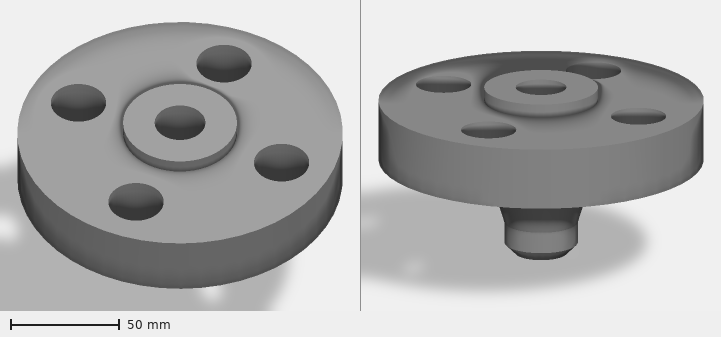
import cadquery as cq

flange_diameter = 149.4
flange_thickness = 28.4
face_diameter = 52.3
face_height = 6.3

total_height = 79.5
hub_base_diameter = 52.3
neck_diameter = 33.8
taper_height = 30.0
bevel_height = 5.0
tip_diameter = 23.9

bore_diameter = 23.3
bolt_hole_diameter = 25.4
bolt_circle_diameter = 101.5
bolt_count = 4
first_bolt_angle = 45.0

face_top = flange_thickness + face_height
taper_bottom = -taper_height
tip_bottom = face_top - total_height
bevel_top = tip_bottom + bevel_height


def flange_body():
    """Revolve the half section of the flange, hub and bore about Z."""
    bore_radius = bore_diameter / 2
    section = [
        (bore_radius, face_top),
        (face_diameter / 2, face_top),
        (face_diameter / 2, flange_thickness),
        (flange_diameter / 2, flange_thickness),
        (flange_diameter / 2, 0),
        (hub_base_diameter / 2, 0),
        (neck_diameter / 2, taper_bottom),
        (neck_diameter / 2, bevel_top),
        (tip_diameter / 2, tip_bottom),
        (bore_radius, tip_bottom),
    ]
    return cq.Workplane("XZ").polyline(section).close().revolve(360, (0, 0), (0, 1))


def bolt_holes():
    """Cylinders that cut the bolt holes through the flange."""
    return (
        cq.Workplane("XY")
        .polarArray(bolt_circle_diameter / 2, first_bolt_angle, 360, bolt_count)
        .circle(bolt_hole_diameter / 2)
        .extrude(flange_thickness)
    )


result = flange_body().cut(bolt_holes())